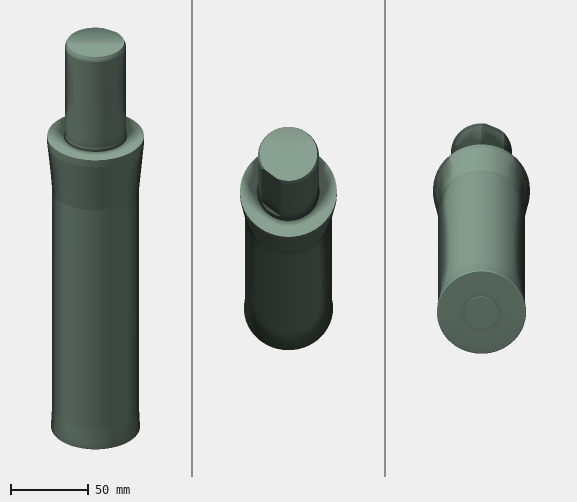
import cadquery as cq

total_height = 290.0
housing_top = 219.8

housing_diameter = 56.3
head_diameter = 62.5
head_rim_height = 5.2
head_height = 39.5
foot_diameter = 57.7
foot_top = 16.5
foot_bottom = 1.0
foot_edge_radius = 0.5
bottom_boss_diameter = 22.0

bore_diameter = 40.0
bore_chamfer = 0.5

rod_diameter = 39.5
rod_tip_chamfer_height = 2.0
rod_tip_chamfer_width = 1.0
rod_shoulder_height = 1.2
rod_shoulder_width = 0.3
collar_diameter = bore_diameter
collar_height = 2.5
collar_taper_height = 1.2
flat_depth = 1.7
flat_bottom = housing_top + 5.8
rod_bottom = housing_top - head_height


def make_housing():
    """Revolved tube with a flared head, a flared foot and a chamfered blind bore."""
    housing_radius = housing_diameter / 2
    head_radius = head_diameter / 2
    foot_radius = foot_diameter / 2
    boss_radius = bottom_boss_diameter / 2
    outline = (
        cq.Workplane("XZ")
        .moveTo(0, 0)
        .lineTo(boss_radius, 0)
        .lineTo(boss_radius, foot_bottom)
        .lineTo(foot_radius - foot_edge_radius, foot_bottom)
        .radiusArc((foot_radius, foot_bottom + foot_edge_radius), -foot_edge_radius)
        .lineTo(housing_radius, foot_top)
        .lineTo(housing_radius, housing_top - head_height)
        .lineTo(head_radius, housing_top - head_rim_height)
        .lineTo(head_radius, housing_top)
        .lineTo(0, housing_top)
        .close()
    )
    body = outline.revolve(360, (0, 0, 0), (0, 1, 0))
    bore = (
        cq.Workplane("XY")
        .workplane(offset=rod_bottom)
        .circle(bore_diameter / 2)
        .extrude(housing_top - rod_bottom)
    )
    mouth_chamfer = (
        cq.Workplane("XY")
        .add(cq.Solid.makeCone(
            bore_diameter / 2,
            bore_diameter / 2 + bore_chamfer,
            bore_chamfer,
            cq.Vector(0, 0, housing_top - bore_chamfer),
        ))
    )
    return body.cut(bore).cut(mouth_chamfer)


def make_rod():
    """Round rod with a collar, a two-stage chamfered top and a flat along its +Y side."""
    rod_radius = rod_diameter / 2
    collar_radius = collar_diameter / 2
    collar_top = housing_top + collar_height
    tip_radius = rod_radius - rod_shoulder_width
    tip_bottom = total_height - rod_tip_chamfer_height
    rod = (
        cq.Workplane("XZ")
        .moveTo(0, rod_bottom)
        .lineTo(collar_radius, rod_bottom)
        .lineTo(collar_radius, collar_top - collar_taper_height)
        .lineTo(rod_radius, collar_top)
        .lineTo(rod_radius, tip_bottom - rod_shoulder_height)
        .lineTo(tip_radius, tip_bottom)
        .lineTo(tip_radius - rod_tip_chamfer_width, total_height)
        .lineTo(0, total_height)
        .close()
        .revolve(360, (0, 0, 0), (0, 1, 0))
    )
    flat_y = rod_radius - flat_depth
    flat_cutter = (
        cq.Workplane("YZ")
        .moveTo(collar_radius, flat_bottom - (collar_radius - flat_y))
        .lineTo(flat_y, flat_bottom)
        .lineTo(flat_y, total_height)
        .lineTo(collar_radius, total_height)
        .close()
        .extrude(collar_radius, both=True)
    )
    return rod.cut(flat_cutter)


housing = make_housing()
rod = make_rod()
result = cq.Compound.makeCompound([housing.val(), rod.val()])